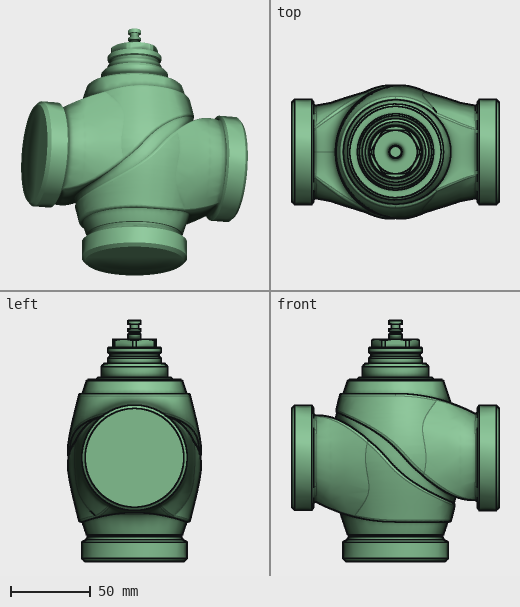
import cadquery as cq
import math

overall_length = 130.0
overall_height = 151.0
port_reach = overall_length / 2
stem_top = overall_height - port_reach

barrel_radius = 42.1
barrel_end_radius = 34.3
barrel_half_height = 41.7
barrel_bend_z = 15.1
barrel_bend_radius = 40.5
core_inset = 1.5

shoulder_z = 49.2
shoulder_edge = 1.2
shoulder_top_radius = 28.5
shoulder_radius = 30.0
cone_large_radius = 34.3
cone_large_z = 35.2
neck_radius = 29.5
neck_top = -48.3
neck_bottom = -49.5

lobe_top_z = 40.2
lobe_left_x = -40.8
lobe_port_x = 52.0
lobe_port_top_z = 26.5
lobe_edge_radius = 1.8
lobe_depth = 120.8
lobe_lower_curve = [(38.4, -24.8), (21.7, -15.1), (9.4, -4.4), (0, 5.9), (-16.8, 18.4), (-33.8, 27.0)]
lobe_lower_right = (lobe_port_x, -26.6)
lobe_lower_left = (lobe_left_x, 30.2)
tube_stations = [
    (9.0, 40.2, 31.7, 41.0),
    (30.2, 34.3, 21.3, 36.7),
    (40.8, 30.8, 16.3, 33.2),
    (52.8, 28.8, 10.5, 28.0),
]

flange_radius = 66.0 / 2
flange_chamfer = 2.1
flange_back_x = 51.2
flange_back_radius = 31.1
flange_back_bevel = 1.2
flat_tolerance = 0.2
root_fillet = 1.2
bevel_radius = 30.4
bevel_top_z = -51.2
bevel_height = 1.5

foot_radius = 23.9
foot_height = 1.2
bonnet_radius = 20.8
bonnet_top = 59.0
bonnet_chamfer = 2.0
collar_radius = 16.8
groove_depth = 1.4
groove_bottom = 63.5
groove_top = 65.1
groove_upper_bevel = 0.8
collar_chamfer = 0.8

nut_bottom = 69.2
nut_top = 74.1
nut_across_flats = 27.0
nut_corner_radius = 15.0
nut_top_radius = 13.6
nut_chamfer_height = 0.8

stem_radius = 4.1
stem_neck_radius = 2.7
stem_chamfer = 0.5
shank_top = 77.2
lower_neck_bottom = 78.0
lower_neck_top = 78.5
ring_bottom = 79.1
ring_top = 80.6
head_bottom = 83.5


def revolve_about_z(points):
    """Revolve an outline of (radius, z) points about the vertical axis, closed along that axis."""
    outline = [(0, points[0][1])] + points + [(0, points[-1][1])]
    return cq.Workplane("XZ").polyline(outline).close().revolve(360, (0, 0, 0), (0, 1, 0))


def make_barrel():
    lower_end = (barrel_end_radius, -barrel_half_height)
    upper_end = (barrel_end_radius, barrel_half_height)
    side = [
        (barrel_bend_radius, -barrel_bend_z),
        (barrel_radius, 0),
        (barrel_bend_radius, barrel_bend_z),
        upper_end,
    ]
    return (
        cq.Workplane("XZ")
        .moveTo(0, -barrel_half_height)
        .lineTo(*lower_end)
        .spline(side, includeCurrent=True)
        .lineTo(0, barrel_half_height)
        .close()
        .revolve(360, (0, 0, 0), (0, 1, 0))
    )


def make_core():
    return (
        cq.Workplane("XZ")
        .moveTo(0, neck_bottom - 1.5)
        .lineTo(neck_radius, neck_bottom - 1.5)
        .lineTo(neck_radius, neck_top)
        .lineTo(shoulder_radius, shoulder_edge - shoulder_z)
        .lineTo(cone_large_radius, -cone_large_z)
        .threePointArc((barrel_radius - core_inset, 0), (cone_large_radius, cone_large_z))
        .lineTo(shoulder_radius, shoulder_z - shoulder_edge)
        .lineTo(shoulder_top_radius, shoulder_z)
        .lineTo(0, shoulder_z)
        .close()
        .revolve(360, (0, 0, 0), (0, 1, 0))
    )


def make_tube():
    sections = cq.Workplane("YZ")
    previous_x = 0
    for x, half_width, flat_half_width, half_height in tube_stations:
        sections = (
            sections.workplane(offset=x - previous_x)
            .moveTo(-flat_half_width, half_height)
            .lineTo(flat_half_width, half_height)
            .threePointArc((half_width, 0), (flat_half_width, -half_height))
            .lineTo(-flat_half_width, -half_height)
            .threePointArc((-half_width, 0), (-flat_half_width, half_height))
            .close()
        )
        previous_x = x
    return sections.loft()


def lobe_rim_edges(lobe):
    """Edges of the top and lower faces that meet the outer surface, on both sides of the lobe."""
    rim = []
    for edge in lobe.edges("not %LINE").vals():
        box = edge.BoundingBox()
        spans_x = box.xlen > 1.5
        spans_y = box.ylen > 1.5
        joins_barrel_and_tube = box.zmin < 0 < box.zmax and box.xmin > 0
        if spans_x and spans_y and not joins_barrel_and_tube:
            rim.append(edge)
    return rim


def make_lobe():
    drop = lobe_top_z - lobe_port_top_z
    arc_radius = (lobe_port_x**2 + drop**2) / (2 * drop)
    mid_x = lobe_port_x / 2
    mid_z = lobe_top_z - arc_radius + math.sqrt(arc_radius**2 - mid_x**2)
    outline = (
        cq.Workplane("XZ")
        .moveTo(lobe_left_x, lobe_top_z)
        .lineTo(0, lobe_top_z)
        .threePointArc((mid_x, mid_z), (lobe_port_x, lobe_port_top_z))
        .lineTo(*lobe_lower_right)
        .spline(lobe_lower_curve + [lobe_lower_left], includeCurrent=True)
        .close()
        .extrude(lobe_depth / 2, both=True)
    )
    lobe = make_barrel().union(make_tube()).intersect(outline)
    return lobe.newObject([lobe.val().fillet(lobe_edge_radius, lobe_rim_edges(lobe))])


def make_side_flange():
    profile = [
        (flange_back_radius, flange_back_x),
        (flange_radius, flange_back_x + flange_back_bevel),
        (flange_radius, port_reach - flange_chamfer),
        (flange_radius - flange_chamfer, port_reach),
    ]
    return revolve_about_z(profile).rotate((0, 0, 0), (0, 1, 0), 90)


def make_bottom_flange():
    return revolve_about_z([
        (neck_radius, neck_bottom),
        (bevel_radius, bevel_top_z),
        (flange_radius, bevel_top_z - bevel_height),
        (flange_radius, flange_chamfer - port_reach),
        (flange_radius - flange_chamfer, -port_reach),
    ])


def make_bonnet():
    return revolve_about_z([
        (foot_radius, shoulder_z),
        (foot_radius - foot_height, shoulder_z + foot_height),
        (bonnet_radius, shoulder_z + foot_height),
        (bonnet_radius, bonnet_top - bonnet_chamfer),
        (bonnet_radius - bonnet_chamfer, bonnet_top),
        (collar_radius, bonnet_top),
        (collar_radius, groove_bottom - groove_depth),
        (collar_radius - groove_depth, groove_bottom),
        (collar_radius - groove_depth, groove_top),
        (collar_radius, groove_top + groove_upper_bevel),
        (collar_radius, nut_bottom - collar_chamfer),
        (collar_radius - collar_chamfer, nut_bottom),
    ])


def make_nut():
    corner_diameter = nut_across_flats / math.cos(math.pi / 6)
    hexagon = (
        cq.Workplane("XY", origin=(0, 0, nut_bottom))
        .polygon(6, corner_diameter)
        .extrude(nut_top - nut_bottom)
    )
    corner_trim = revolve_about_z([
        (nut_corner_radius, nut_bottom),
        (nut_corner_radius, nut_top - nut_chamfer_height),
        (nut_top_radius, nut_top),
    ])
    return hexagon.intersect(corner_trim)


def make_stem():
    return revolve_about_z([
        (stem_radius, nut_top),
        (stem_radius, shank_top),
        (stem_neck_radius, lower_neck_bottom),
        (stem_neck_radius, lower_neck_top),
        (stem_radius, ring_bottom),
        (stem_radius, ring_top),
        (stem_neck_radius, ring_top),
        (stem_neck_radius, head_bottom),
        (stem_radius, head_bottom),
        (stem_radius, stem_top - stem_chamfer),
        (stem_radius - stem_chamfer, stem_top),
    ])


def join_lobe_and_flange():
    joined = make_lobe().union(make_side_flange())
    back_x = flange_back_x - flat_tolerance
    root_edges = cq.selectors.BoxSelector(
        (back_x, -flange_back_radius, -flange_back_radius),
        (back_x + 2 * flat_tolerance, flange_back_radius, flange_back_radius),
        boundingbox=True,
    )
    inner = joined.edges(root_edges).edges("not %CIRCLE")
    return inner.fillet(root_fillet)


upper_half = join_lobe_and_flange()
lower_half = upper_half.rotate((0, 0, 0), (0, 1, 0), 180)
result = make_core().union(upper_half).union(lower_half)
for section in (make_bottom_flange(), make_bonnet(), make_nut(), make_stem()):
    result = result.union(section)